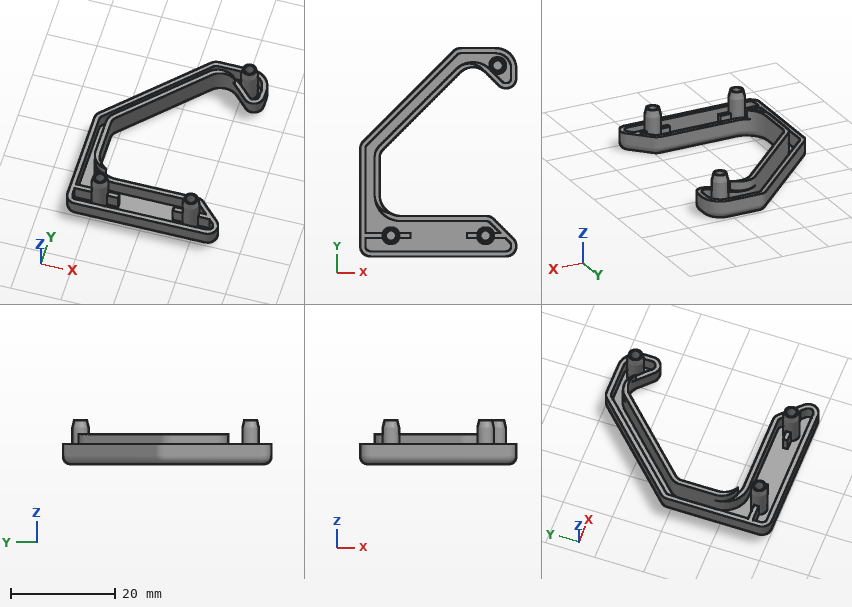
import cadquery as cq
import math

length_x = 30.0
length_y = 40.0
tray_height = 3.9
lip_height = 5.8
peg_shoulder = 7.0
peg_height = 8.5

wall = 1.0
floor = 1.0
bottom_round = 1.5
corner_radius = 2.0
hook_outer_radius = 4.0
hook_inner_radius = 3.5
elbow_radius = 3.95

diagonal_start_y = 21.5
arm_width = 3.8
opening_start_y = 19.9
base_top = 7.8
hook_tip_y = 32.25

peg_diameter = 3.2
peg_tip_diameter = 2.5
bore_diameter = 2.0
base_peg_y = 4.0
left_peg_x = 5.9
right_peg_x = length_x - left_peg_x
hook_peg = (26.4, 36.65)
peg_places = [(left_peg_x, base_peg_y), (right_peg_x, base_peg_y), hook_peg]
rib_width = 0.95
left_rib_end = 9.7
right_rib_end = 20.55

lip_end_radius = 3.5

ROOT_2 = math.sqrt(2)
base_tip_sum = length_x + ROOT_2 * corner_radius
hook_tip_sum = length_x + hook_tip_y - ROOT_2 * corner_radius
opening_rise = opening_start_y - arm_width


def rounded_outline(corners):
    """Closed outline through (x, y, radius) corners, each rounded by a tangent arc."""
    stops = []
    for i, (x, y, radius) in enumerate(corners):
        here = cq.Vector(x, y)
        before = (cq.Vector(*corners[i - 1][:2]) - here).normalized()
        after = (cq.Vector(*corners[(i + 1) % len(corners)][:2]) - here).normalized()
        half_angle = before.getAngle(after) / 2
        setback = radius / math.tan(half_angle)
        bisector = (before + after).normalized()
        middle = here + bisector * (radius / math.sin(half_angle) - radius)
        stops.append((here + before * setback, middle, here + after * setback, radius))

    outline = cq.Workplane("XY").moveTo(*stops[0][2].toTuple()[:2])
    for start, middle, end, radius in stops[1:] + stops[:1]:
        outline = outline.lineTo(start.x, start.y)
        if radius > 0:
            outline = outline.threePointArc((middle.x, middle.y), (end.x, end.y))
    return outline.wire()


def hook_outline():
    """Outer outline of the tray, counter-clockwise from the origin corner."""
    opening_top = ((hook_tip_sum - opening_rise) / 2, (hook_tip_sum + opening_rise) / 2)
    return rounded_outline([
        (0, 0, corner_radius),
        (base_tip_sum, 0, corner_radius),
        (base_tip_sum - base_top, base_top, corner_radius),
        (arm_width, base_top, elbow_radius),
        (arm_width, opening_start_y, corner_radius),
        (*opening_top, hook_inner_radius),
        (length_x, hook_tip_sum - length_x, corner_radius),
        (length_x, length_y, hook_outer_radius),
        (length_y - diagonal_start_y, length_y, corner_radius),
        (0, diagonal_start_y, corner_radius),
    ])


def lip_outline():
    """Back face of the lip, closed across the hook opening."""
    back_x = arm_width - wall
    back_rise = opening_rise + ROOT_2 * wall
    elbow_y = base_top + elbow_radius
    bottom_y = elbow_y - lip_end_radius
    centre_sum = hook_tip_sum - ROOT_2 * hook_inner_radius
    centre_rise = back_rise - ROOT_2 * lip_end_radius
    end_x = (centre_sum - centre_rise) / 2 + lip_end_radius
    return rounded_outline([
        (end_x, bottom_y, 0),
        (back_x, bottom_y, lip_end_radius),
        (back_x, back_x + back_rise, corner_radius + wall),
        (end_x, end_x + back_rise, lip_end_radius),
    ])


def tray():
    """Open tray with a rounded underside."""
    body = hook_outline().extrude(tray_height).faces("<Z").edges().fillet(bottom_round)
    pocket = hook_outline().offset2D(-wall).extrude(tray_height).translate((0, 0, floor))
    return body.cut(pocket)


def lip():
    """Raised lip above the tray wall, flush with the hook opening."""
    rise = lip_height - tray_height
    footprint = lip_outline().extrude(rise).intersect(hook_outline().extrude(rise))
    return footprint.translate((0, 0, tray_height))


def ribs():
    """Ribs from the tray walls through the base pegs, flush with the tray rim."""
    rib_bottom = base_peg_y - rib_width / 2
    left_rib_root = wall / 2
    right_rib_root = base_tip_sum - base_peg_y - ROOT_2 * wall / 2
    rib_height = tray_height - floor
    left = cq.Workplane("XY").box(left_rib_end - left_rib_root, rib_width, rib_height, centered=False)
    right = cq.Workplane("XY").box(right_rib_root - right_rib_end, rib_width, rib_height, centered=False)
    left = left.translate((left_rib_root, rib_bottom, floor))
    return left.union(right.translate((right_rib_end, rib_bottom, floor)))


def peg():
    """Peg standing on the tray floor, with a tapered tip; its bore is cut separately."""
    profile = [
        (0, floor),
        (peg_diameter / 2, floor),
        (peg_diameter / 2, peg_shoulder),
        (peg_tip_diameter / 2, peg_height),
        (0, peg_height),
    ]
    return cq.Workplane("XZ").polyline(profile).close().revolve()


def peg_bore():
    """Blind bore from the peg tip down to the tray floor."""
    return cq.Workplane("XY").workplane(offset=floor).circle(bore_diameter / 2).extrude(peg_height - floor)


result = tray().union(lip()).union(ribs())
for x, y in peg_places:
    result = result.union(peg().translate((x, y, 0)))
    result = result.cut(peg_bore().translate((x, y, 0)))